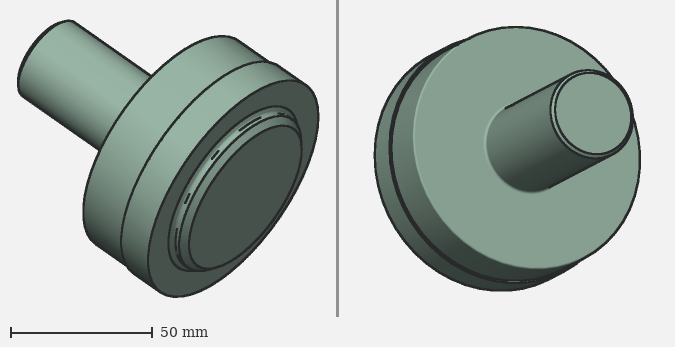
import cadquery as cq
import math

total_length = 95.25
shank_length = 57.3
shank_diameter = 31.9
shank_chamfer = 1.2
shank_root_fillet = 1.0

body_diameter = 87.8
body_length = 19.2
body_edge_fillet = 0.7

flange_diameter = 89.4
flange_length = 12.9

nose_diameter = 64.1
nose_chamfer = 2.5
nose_root_height = 2.0
nose_root_angle = 60.0
nose_root_fillet = 0.8

shank_start = -total_length / 2
body_start = shank_start + shank_length
flange_start = body_start + body_length
nose_start = flange_start + flange_length
nose_end = total_length / 2


def disc(diameter, start, end):
    """Solid cylinder along X between two stations."""
    return cq.Workplane("YZ", origin=(start, 0, 0)).circle(diameter / 2).extrude(end - start)


def make_nose():
    """Chamfered nose with a conical root blended into its cylindrical side."""
    nose_radius = nose_diameter / 2
    root_end = nose_start + nose_root_height / math.tan(math.radians(nose_root_angle))
    profile = (
        cq.Workplane("XY")
        .moveTo(nose_start, 0)
        .lineTo(nose_start, nose_radius + nose_root_height)
        .lineTo(root_end, nose_radius)
        .lineTo(nose_end - nose_chamfer, nose_radius)
        .lineTo(nose_end, nose_radius - nose_chamfer)
        .lineTo(nose_end, 0)
        .close()
    )
    nose = profile.revolve(360, (0, 0, 0), (1, 0, 0))
    blend_edge = cq.selectors.NearestToPointSelector((root_end, 0, 0))
    return nose.edges("%CIRCLE").edges(blend_edge).fillet(nose_root_fillet)


shank = disc(shank_diameter, shank_start, body_start).faces("<X").chamfer(shank_chamfer)
body = disc(body_diameter, body_start, flange_start).faces("<X").edges().fillet(body_edge_fillet)
flange = disc(flange_diameter, flange_start, nose_start)

shank_root = cq.selectors.RadiusNthSelector(0)
handle = shank.union(body).faces(cq.selectors.NearestToPointSelector((body_start, 0, 0)))
handle = handle.edges(shank_root).fillet(shank_root_fillet)

result = handle.union(flange).union(make_nose())